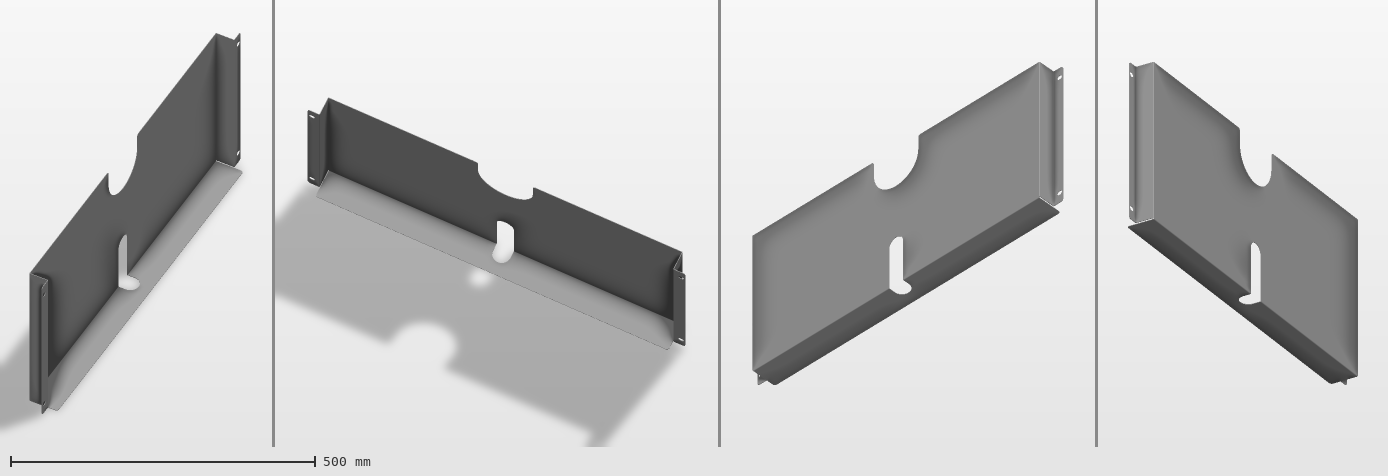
import cadquery as cq

thickness = 1.0
bend_outer_radius = 1.5
bend_inner_radius = bend_outer_radius - thickness

length = 686.0
height = 292.0
floor_depth = 52.0

wall_depth = 35.0
flange_width = 20.5
box_half_width = length / 2 - flange_width
panel_overlap = 7.0
side_bottom = 2.0
flange_corner_radius = 5.0

floor_half_width = box_half_width - bend_outer_radius
floor_corner_radius = 5.0

mouth_width = 100.0
mouth_depth = 80.0
mouth_corner_radius = 5.0
slot_width = 31.5
slot_height = 101.5
floor_slot_depth = 30.0

mount_length = 10.0
mount_height = 8.0
mount_edge_distance = 7.5
mount_end_distance = 20.5



def box(x_range, y_range, z_range):
    """Block spanning the given ranges."""
    sizes = [high - low for low, high in (x_range, y_range, z_range)]
    corner = (x_range[0], y_range[0], z_range[0])
    return cq.Workplane("XY").box(*sizes, centered=False).translate(corner)


def make_channel():
    """Front panel and floor: an L section bent along Y."""
    outer = box((0, floor_depth), (-floor_half_width, floor_half_width), (0, height))
    outer = outer.edges("<X and <Z").fillet(bend_outer_radius)
    inner = box(
        (thickness, floor_depth),
        (-floor_half_width, floor_half_width),
        (thickness, height),
    )
    inner = inner.edges("<X and <Z").fillet(bend_inner_radius)
    channel = outer.cut(inner)
    return channel.edges(">X and |Z").fillet(floor_corner_radius)


def make_side():
    """Z-bent side wall with its mounting flange, on the +Y side."""
    inner_face = box_half_width - thickness
    strip_start = floor_half_width - panel_overlap
    profile = [
        (0, strip_start),
        (0, box_half_width),
        (wall_depth - thickness, box_half_width),
        (wall_depth - thickness, length / 2),
        (wall_depth, length / 2),
        (wall_depth, inner_face),
        (thickness, inner_face),
        (thickness, strip_start),
    ]
    side = (
        cq.Workplane("XY")
        .workplane(offset=side_bottom)
        .polyline(profile)
        .close()
        .extrude(height - side_bottom)
    )
    outer_bends = [(0, box_half_width), (wall_depth, inner_face)]
    inner_bends = [(thickness, inner_face), (wall_depth - thickness, box_half_width)]
    for bends, radius in ((outer_bends, bend_outer_radius), (inner_bends, bend_inner_radius)):
        for x, y in bends:
            edge = cq.selectors.NearestToPointSelector((x, y, (height + side_bottom) / 2))
            side = side.edges("|Z").edges(edge).fillet(radius)
    side = side.edges(">Y and |X").fillet(flange_corner_radius)
    mount_holes = (
        cq.Workplane("YZ")
        .pushPoints([
            (length / 2 - mount_edge_distance, side_bottom + mount_end_distance),
            (length / 2 - mount_edge_distance, height - mount_end_distance),
        ])
        .slot2D(mount_length, mount_height)
        .extrude(floor_depth)
    )
    return side.cut(mount_holes)


def make_mouth():
    """Round-bottomed opening in the panel's top edge, with rounded lips."""
    radius = mouth_width / 2
    lip = mouth_corner_radius
    arc_centre = height - mouth_depth + radius
    return (
        cq.Workplane("YZ")
        .moveTo(-radius - lip, height)
        .radiusArc((-radius, height - lip), lip)
        .lineTo(-radius, arc_centre)
        .threePointArc((0, height - mouth_depth), (radius, arc_centre))
        .lineTo(radius, height - lip)
        .radiusArc((radius + lip, height), lip)
        .close()
        .extrude(thickness)
    )


def make_round_slot(plane, reach, depth):
    """Slot from the bend, running to a round end at the given reach."""
    radius = slot_width / 2
    return (
        cq.Workplane(plane)
        .moveTo(-radius, 0)
        .lineTo(-radius, reach - radius)
        .threePointArc((0, reach), (radius, reach - radius))
        .lineTo(radius, 0)
        .close()
        .extrude(depth)
    )


side = make_side()
result = make_channel().union(side).union(side.mirror("XZ"))
result = result.cut(make_mouth())
result = result.cut(make_round_slot("YZ", slot_height, bend_outer_radius))
floor_plane = cq.Plane(origin=(0, 0, 0), xDir=(0, -1, 0), normal=(0, 0, 1))
result = result.cut(make_round_slot(floor_plane, floor_slot_depth, bend_outer_radius))